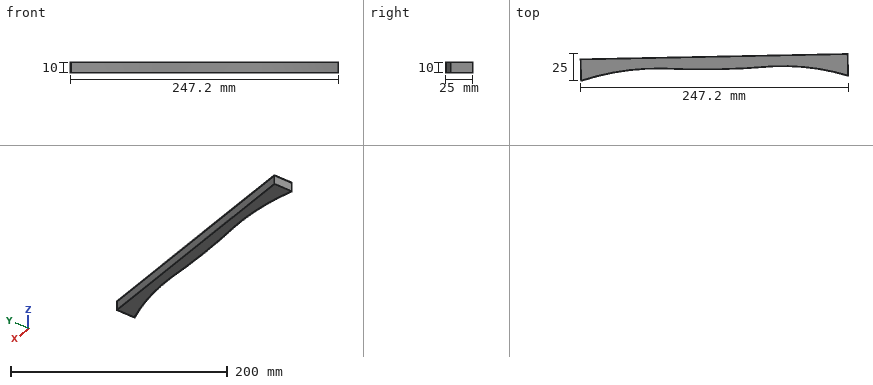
import cadquery as cq

length = 247.2
overall_depth = 25.0
thickness = 10.0

end_lean = 0.5
back_rise = 5.0
front_rise = 4.7
front_left = (end_lean, 0.0)
front_right = (length, front_rise)
back_right = (length - end_lean, overall_depth)
back_left = (0.0, overall_depth - back_rise)

left_hollow_middle = (38.0, 9.0)
left_joint = (76.0, 11.4)
belly_middle = (126.5, 10.6)
right_joint = (177.2, 13.3)
right_hollow_middle = (212.0, 12.0)

outline = (
    cq.Workplane("XY")
    .moveTo(*front_left)
    .threePointArc(left_hollow_middle, left_joint)
    .threePointArc(belly_middle, right_joint)
    .threePointArc(right_hollow_middle, front_right)
    .lineTo(*back_right)
    .lineTo(*back_left)
    .close()
)

result = outline.extrude(thickness)